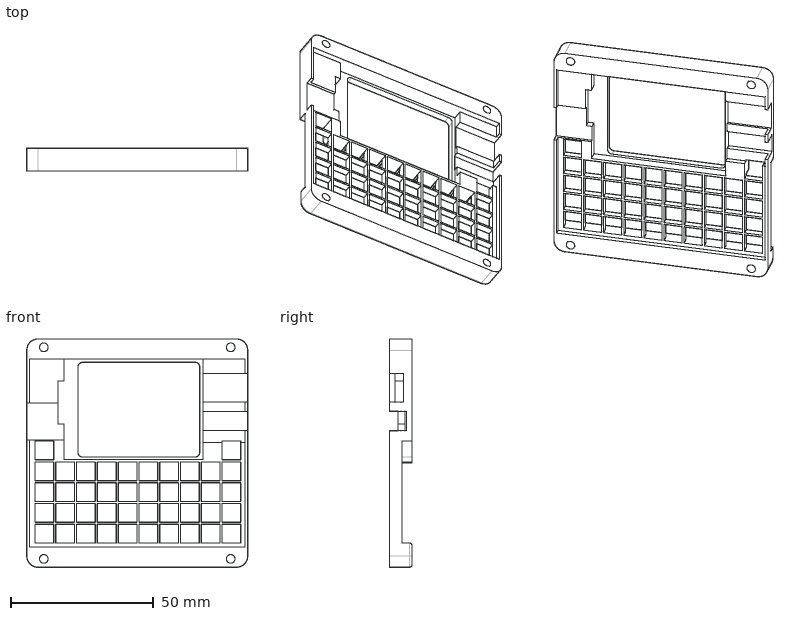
import cadquery as cq

width = 77.4
depth = 8.0
height = 80.0
corner_radius = 4.0

screw_hole_diameter = 3.0
screw_hole_depth = 6.0
screw_inset_x = 6.0
screw_inset_z = 3.0

side_wall = 1.0
end_bar = 7.1
pocket_depth = 2.0
pocket_left = side_wall
pocket_right = width - side_wall
pocket_top = height - end_bar

columns = 10
full_rows = 4
key_pitch = 7.3
key_size = 6.5
keys_left = 3.0
keys_bottom = 8.6
keys_right = keys_left + (columns - 1) * key_pitch + key_size
keys_top = keys_bottom + full_rows * key_pitch + key_size
corner_keys_inner_left = keys_left + key_size
corner_keys_inner_right = keys_right - key_size

key_plate_back = 4.5
housing_bottom = 36.6
housing_radius = 2.2
foot_fillet = 1.0

seat_left = 13.0
seat_right = 61.7
seat_bottom = 37.8
seat_depth = 5.5
seat_tab_left = 11.0
seat_tab_bottom = 50.2
seat_tab_top = 65.3
window_left = 18.0
window_right = 60.6
window_bottom = 38.6
window_top = 71.8
window_radius = 1.6

left_notch_bottom = 44.6
left_notch_top = 57.6
left_notch_depth = 3.0

bay_bottom = 43.8
bay_depth = 4.0
lower_slot_bottom = 47.8
lower_slot_top = 54.6
lower_slot_depth = 6.0
upper_slot_bottom = 57.8
upper_slot_top = 67.8
upper_slot_depth = 4.9


def block(left, right, bottom, top, front, back):
    """Box given by its limits along X, Z and Y."""
    return cq.Workplane("XY").box(right - left, back - front, top - bottom, centered=False).translate(
        (left, front, bottom)
    )


def front_cut(left, right, bottom, top, cut_depth):
    """Box-shaped cut that starts at the front face."""
    return block(left, right, bottom, top, 0, cut_depth)


def make_body():
    """Rounded slab, recessed at the back around the display housing."""
    slab = block(0, width, 0, height, 0, depth).edges("|Y").fillet(corner_radius)
    recess = block(0, width, keys_bottom, keys_top, key_plate_back, depth)
    housing = block(
        corner_keys_inner_left, corner_keys_inner_right, housing_bottom, keys_top, key_plate_back, depth
    )
    housing = housing.edges("|Y and <Z").fillet(housing_radius)
    body = slab.cut(recess.cut(housing))
    foot_back = body.faces(">Y").faces("<Z")
    return foot_back.edges().fillet(foot_fillet)


def cut_key_openings(body):
    """Full rows of keys, plus one key at each end of the row above them."""
    for row in range(full_rows + 1):
        row_columns = range(columns) if row < full_rows else (0, columns - 1)
        for column in row_columns:
            left = keys_left + column * key_pitch
            bottom = keys_bottom + row * key_pitch
            body = body.cut(front_cut(left, left + key_size, bottom, bottom + key_size, depth))
    return body


def cut_display(body):
    """Stepped seat for the display and its round-cornered window."""
    seat = front_cut(seat_left, seat_right, seat_bottom, pocket_top, seat_depth)
    tab = front_cut(seat_tab_left, seat_left, seat_tab_bottom, seat_tab_top, seat_depth)
    window = front_cut(window_left, window_right, window_bottom, window_top, depth)
    window = window.edges("|Y").fillet(window_radius)
    return body.cut(seat).cut(tab).cut(window)


def cut_side_openings(body):
    """Notch in the left wall, and the connector bay with its slots on the right."""
    left_notch = front_cut(0, seat_left, left_notch_bottom, left_notch_top, left_notch_depth)
    bay = front_cut(seat_right, pocket_right, bay_bottom, upper_slot_bottom, bay_depth)
    lower_slot = front_cut(seat_right, width, lower_slot_bottom, lower_slot_top, lower_slot_depth)
    upper_slot = front_cut(seat_right, width, upper_slot_bottom, upper_slot_top, upper_slot_depth)
    return body.cut(left_notch).cut(bay).cut(lower_slot).cut(upper_slot)


def cut_screw_holes(body):
    """One blind hole near each corner."""
    hole = cq.Workplane("XZ").circle(screw_hole_diameter / 2).extrude(-screw_hole_depth)
    for x in (screw_inset_x, width - screw_inset_x):
        for z in (screw_inset_z, height - screw_inset_z):
            body = body.cut(hole.translate((x, 0, z)))
    return body


result = make_body()
result = result.cut(front_cut(pocket_left, pocket_right, end_bar, pocket_top, pocket_depth))
result = cut_key_openings(result)
result = cut_display(result)
result = cut_side_openings(result)
result = cut_screw_holes(result)